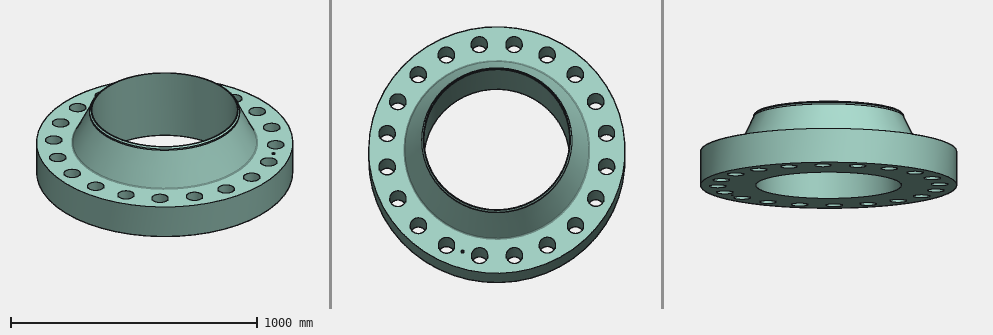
import cadquery as cq
import math

flange_diameter = 1041.0
flange_thickness = 140.0
overall_height = 293.0

bore_diameter = 591.0
hub_base_diameter = 750.0
hub_fillet_radius = 4.0
neck_diameter = 610.0
neck_straight_height = 6.0
bevel_height = 6.0
land_width = 3.0

bolt_count = 20
bolt_circle_diameter = 902.0
bolt_hole_diameter = 67.0
bolt_pitch_angle = 360.0 / bolt_count

small_hole_diameter = 6.8
countersink_diameter = 12.0
countersink_angle = 90.0
small_hole_angle = bolt_pitch_angle / 2


def flange_body():
    """Revolve the half section of ring, tapered hub, straight neck and bevelled weld end."""
    bore_radius = bore_diameter / 2
    hub_base_radius = hub_base_diameter / 2
    neck_radius = neck_diameter / 2
    flange_radius = flange_diameter / 2
    bevel_start = overall_height - bevel_height
    section = (
        cq.Workplane("XZ")
        .moveTo(bore_radius, 0)
        .lineTo(flange_radius, 0)
        .lineTo(flange_radius, flange_thickness)
        .lineTo(hub_base_radius, flange_thickness)
        .lineTo(neck_radius, bevel_start - neck_straight_height)
        .lineTo(neck_radius, bevel_start)
        .lineTo(bore_radius + land_width, overall_height)
        .lineTo(bore_radius, overall_height)
        .close()
    )
    body = section.revolve(360, (0, 0, 0), (0, 1, 0))
    hub_base_edge = body.edges(cq.selectors.RadiusNthSelector(-2))
    return hub_base_edge.fillet(hub_fillet_radius)


def bolt_circle_point(angle):
    """Point on the bolt circle at the given angle in degrees from +X."""
    radius = bolt_circle_diameter / 2
    return (radius * math.cos(math.radians(angle)), radius * math.sin(math.radians(angle)))


def cut_bolt_holes(body):
    """Drill the evenly spaced bolt holes through the ring."""
    centres = [bolt_circle_point(index * bolt_pitch_angle) for index in range(bolt_count)]
    cutters = cq.Workplane("XY").pushPoints(centres).circle(bolt_hole_diameter / 2).extrude(flange_thickness)
    return body.cut(cutters)


def countersink_cutter():
    """Cone from the countersink mouth on the upper face down to its point."""
    mouth_radius = countersink_diameter / 2
    depth = mouth_radius / math.tan(math.radians(countersink_angle / 2))
    x, y = bolt_circle_point(small_hole_angle)
    return cq.Workplane(
        cq.Solid.makeCone(mouth_radius, 0, depth, cq.Vector(x, y, flange_thickness), cq.Vector(0, 0, -1))
    )


def cut_small_hole(body):
    """Drill the small hole through the ring, countersunk at the upper face."""
    centre = bolt_circle_point(small_hole_angle)
    drill = cq.Workplane("XY").center(*centre).circle(small_hole_diameter / 2).extrude(flange_thickness)
    return body.cut(drill).cut(countersink_cutter())


result = flange_body()
result = cut_bolt_holes(result)
result = cut_small_hole(result)